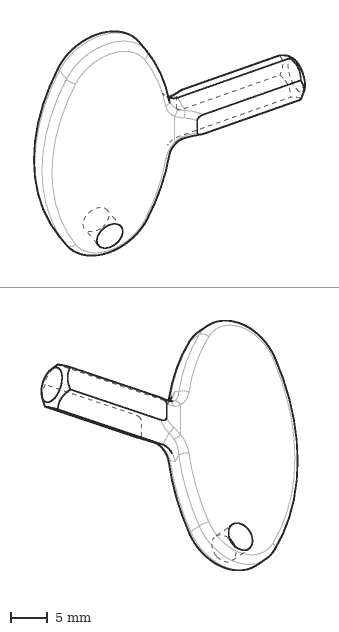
import cadquery as cq
import math

across_flats = 6.0
head_thickness = 4.0
head_half_width = 10.0
key_length = 40.0

side_radius = 30.8
head_half_height = 18.48

flare_radius = 5.0
neck_radius = 2.0
rim_radius = 1.0
tip_chamfer = 1.0
hole_diameter = 4.0
hole_z = -15.0

clearance = 0.4

corner_radius = across_flats / math.sqrt(3)
tip_y = key_length - head_half_width
side_center = side_radius - head_half_width
end_radius = (side_radius ** 2 - side_center ** 2 - head_half_height ** 2) / (
    2 * (side_radius - head_half_height)
)
end_center = head_half_height - end_radius
joint_scale = side_radius / (side_radius - end_radius)
joint_y = side_center * joint_scale - side_center
joint_z = end_center * joint_scale
head_half_thickness = head_thickness / 2
flare_depth = across_flats / 2 - head_half_thickness
flare_length = math.sqrt(flare_radius ** 2 - (flare_radius - flare_depth) ** 2)


def make_head():
    """Oval block as thick as the shank, centred on the origin."""
    return (
        cq.Workplane("YZ")
        .moveTo(joint_y, -joint_z)
        .threePointArc((head_half_width, 0), (joint_y, joint_z))
        .threePointArc((0, head_half_height), (-joint_y, joint_z))
        .threePointArc((-head_half_width, 0), (-joint_y, -joint_z))
        .threePointArc((0, -head_half_height), (joint_y, -joint_z))
        .close()
        .extrude(across_flats / 2 + clearance, both=True)
    )


def make_shank():
    """Hexagonal bar along Y with two flats facing X and a conical tip."""
    hexagon = [
        (corner_radius * math.sin(math.radians(60 * i)), corner_radius * math.cos(math.radians(60 * i)))
        for i in range(6)
    ]
    bar = cq.Workplane("XZ").polyline(hexagon).close().extrude(-tip_y)
    tip_cone = (
        cq.Workplane("XZ").circle(corner_radius).extrude(-tip_y).faces(">Y").chamfer(tip_chamfer)
    )
    return bar.intersect(tip_cone)


def make_thickness_envelope():
    """Limit for one quarter of the key: head thickness, flaring out along an arc to the shank flat."""
    flat_x = across_flats / 2
    flare_end_y = head_half_width + flare_length
    half_angle = math.asin(flare_length / flare_radius) / 2
    middle_x = head_half_thickness + flare_radius * (1 - math.cos(half_angle))
    middle_y = head_half_width + flare_radius * math.sin(half_angle)
    outer_x = flat_x + clearance
    outer_y = tip_y + clearance
    back_y = -head_half_width - clearance
    return (
        cq.Workplane("XY")
        .moveTo(0, back_y)
        .lineTo(head_half_thickness, back_y)
        .lineTo(head_half_thickness, head_half_width)
        .threePointArc((middle_x, middle_y), (flat_x, flare_end_y))
        .lineTo(outer_x, flare_end_y)
        .lineTo(outer_x, outer_y)
        .lineTo(0, outer_y)
        .close()
        .extrude(head_half_height + clearance)
    )


def make_quarter():
    """The +X, +Z quarter of the key, with the neck blended and the rim rounded."""
    quadrant = cq.Workplane("XY").box(
        across_flats, 2 * key_length, key_length, centered=(False, True, False)
    )
    quarter = make_head().union(make_shank()).intersect(quadrant)

    neck_point = (across_flats / 4, head_half_width, 3 * corner_radius / 4)
    neck_edge = quarter.edges("%ELLIPSE").edges(cq.selectors.NearestToPointSelector(neck_point))
    quarter = neck_edge.fillet(neck_radius)
    quarter = quarter.intersect(make_thickness_envelope())

    rim_edge = quarter.faces(cq.selectors.NearestToPointSelector((head_half_thickness, 0, 0)))
    rim_edge = rim_edge.edges(">Z")
    return rim_edge.fillet(rim_radius)


quarter = make_quarter()
half = quarter.union(quarter.mirror("XY"))
body = half.union(half.mirror("YZ")).clean()

hole = cq.Workplane("YZ").center(0, hole_z).circle(hole_diameter / 2).extrude(head_thickness, both=True)
result = body.cut(hole)